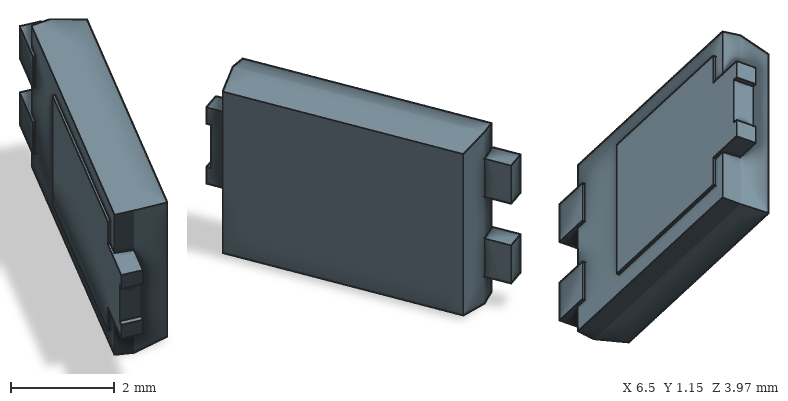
import cadquery as cq

length = 6.5
depth = 1.15
height = 3.97

housing_left = 0.565
housing_right = 5.935
standoff = 0.05
parting_y = 0.435
front_inset = 0.03
back_inset = 0.12

lead_length = 0.85
lead_height = 0.885
lead_offset = 0.92

pad_left = 2.105
pad_right = 5.64
pad_height = 3.035
tab_height = 1.77
notch_depth = 0.1
notch_height = 1.0

housing_length = housing_right - housing_left
housing_center = (housing_left + housing_right) / 2


def metal_block(x_min, x_max, box_height, z_center=0.0):
    """Metal block from the contact plane back to the parting plane."""
    size_x = x_max - x_min
    return cq.Workplane("XY").box(size_x, parting_y, box_height).translate(
        ((x_min + x_max) / 2, parting_y / 2, z_center)
    )


def housing_half(end_y, inset):
    """Frustum from the parting plane to a smaller rectangle at end_y."""
    return (
        cq.Workplane("XZ", origin=(housing_center, parting_y, 0))
        .rect(housing_length, height)
        .workplane(offset=parting_y - end_y)
        .rect(housing_length - 2 * inset, height - 2 * inset)
        .loft(ruled=True)
    )


def make_lead(z_center):
    return metal_block(0, lead_length, lead_height, z_center)


def make_heat_pad():
    pad = metal_block(pad_left, pad_right, pad_height)
    tab = metal_block(pad_right, length, tab_height)
    notch = metal_block(length - notch_depth, length, notch_height)
    return pad.union(tab).cut(notch)


def make_housing(metal_parts):
    """Moulded body with a matching recess for every metal part."""
    body = housing_half(standoff, front_inset).union(housing_half(depth, back_inset))
    for part in metal_parts:
        body = body.cut(part)
    return body


leads = [make_lead(side * lead_offset) for side in (-1, 1)]
heat_pad = make_heat_pad()
housing = make_housing([*leads, heat_pad])

result = cq.Compound.makeCompound(
    [housing.val(), heat_pad.val(), *[lead.val() for lead in leads]]
)